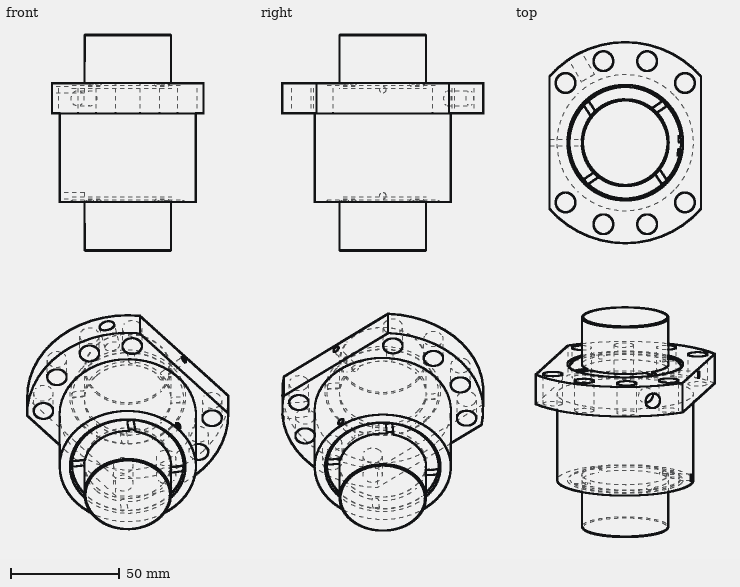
import cadquery as cq
import math

shaft_diameter = 40.0
shaft_length = 100.0
shaft_chamfer = 0.5

body_diameter = 63.0
flange_diameter = 93.0
flange_width = 70.0
flange_thickness = 14.0
shaft_overhang = 22.5
housing_top = shaft_length / 2 - shaft_overhang
housing_bottom = -housing_top
housing_length = housing_top - housing_bottom
flange_bottom = housing_top - flange_thickness

bolt_hole_diameter = 9.0
bolt_circle_radius = 39.0
bolt_angles = (45, 75, 105, 135, 225, 255, 285, 315)

port_diameter = 6.92
port_depth = 12.0
port_angle = 120.0
port_z = housing_top - flange_thickness / 2

plate_radius = 25.75
plate_thickness = 2.5
rim_edge_size = 1.0

clearance_diameter = 40.2

channel_diameter = 3.0
channel_count = 4
channel_angle = 34.0
channel_offset = 4.8
channel_end = math.sqrt(plate_radius**2 - channel_offset**2)

side_hole_diameter = 3.0
side_hole_inset = 3.0


def make_housing():
    body = (
        cq.Workplane("XY")
        .workplane(offset=housing_bottom)
        .circle(body_diameter / 2)
        .extrude(housing_length)
    )
    disc = (
        cq.Workplane("XY")
        .workplane(offset=flange_bottom)
        .circle(flange_diameter / 2)
        .extrude(flange_thickness)
    )
    flats = (
        cq.Workplane("XY")
        .workplane(offset=flange_bottom)
        .rect(flange_width, flange_diameter)
        .extrude(flange_thickness)
    )
    return body.union(disc.intersect(flats))


def make_shaft():
    return (
        cq.Workplane("XY")
        .circle(shaft_diameter / 2)
        .extrude(shaft_length / 2, both=True)
        .faces("<Z or >Z")
        .chamfer(shaft_chamfer)
    )


def make_bolt_holes():
    points = [
        (
            bolt_circle_radius * math.cos(math.radians(angle)),
            bolt_circle_radius * math.sin(math.radians(angle)),
        )
        for angle in bolt_angles
    ]
    return (
        cq.Workplane("XY")
        .workplane(offset=flange_bottom)
        .pushPoints(points)
        .circle(bolt_hole_diameter / 2)
        .extrude(flange_thickness)
    )


def make_port():
    return (
        cq.Workplane("YZ", origin=(flange_diameter / 2 - port_depth, 0, port_z))
        .circle(port_diameter / 2)
        .extrude(port_depth)
        .rotate((0, 0, 0), (0, 0, 1), port_angle)
    )


def make_ring_groove():
    return (
        cq.Workplane("XZ")
        .moveTo(plate_radius - rim_edge_size, housing_top)
        .lineTo(plate_radius + rim_edge_size, housing_top)
        .lineTo(plate_radius, housing_top - rim_edge_size)
        .radiusArc((plate_radius - rim_edge_size, housing_top), -rim_edge_size)
        .close()
        .revolve(360, (0, 0, 0), (0, 1, 0))
    )


def make_side_hole():
    hole = (
        cq.Workplane("YZ", origin=(-flange_width / 2, 0, housing_top - side_hole_inset))
        .circle(side_hole_diameter / 2)
        .extrude(flange_width / 2)
    )
    plate = (
        cq.Workplane("XY")
        .workplane(offset=housing_top - plate_thickness)
        .circle(plate_radius)
        .extrude(plate_thickness)
    )
    return hole.cut(plate)


def make_end_cuts():
    """Ring groove, side hole, shaft pocket and channels of the upper end of the housing."""
    cuts = make_ring_groove().union(make_side_hole())
    shaft_pocket = (
        cq.Workplane("XY")
        .workplane(offset=housing_top - plate_thickness)
        .circle(clearance_diameter / 2)
        .extrude(plate_thickness)
    )
    cuts = cuts.union(shaft_pocket)
    channel = (
        cq.Workplane("YZ", origin=(0, channel_offset, housing_top))
        .circle(channel_diameter / 2)
        .extrude(channel_end)
    )
    for index in range(channel_count):
        angle = channel_angle + index * 360 / channel_count
        cuts = cuts.union(channel.rotate((0, 0, 0), (0, 0, 1), angle))
    return cuts


end_cuts = make_end_cuts()

result = make_housing()
result = result.cut(make_bolt_holes())
result = result.cut(make_port())
result = result.cut(end_cuts)
result = result.cut(end_cuts.mirror("XY"))
result = result.union(make_shaft())